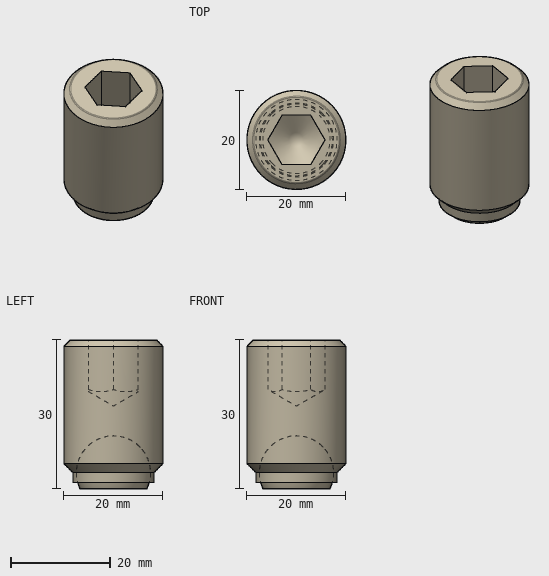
import cadquery as cq
import math

total_height = 30.0
screw_diameter = 20.0
screw_radius = screw_diameter / 2

collar_radius = 8.2
collar_bottom = 1.25
collar_top = 3.27
lower_chamfer = screw_radius - collar_radius
upper_chamfer = 1.25
rim_round = 0.33

hex_across_flats = 10.0
hex_across_corners = hex_across_flats / math.cos(math.radians(30))
hex_depth = 10.0
cone_half_angle = 60.0
cone_radius = hex_across_corners / 2
cone_depth = cone_radius / math.tan(math.radians(cone_half_angle))

ball_radius = 7.5
flat_radius = 6.78
ball_center = math.sqrt(ball_radius**2 - flat_radius**2)


def make_ball():
    """Sphere cut off by a flat contact face at Z = 0."""
    sphere = cq.Workplane("XY").sphere(ball_radius).translate((0, 0, ball_center))
    flat_cutter = cq.Workplane("XY").circle(screw_radius).extrude(-ball_radius)
    return sphere.cut(flat_cutter)


def make_screw_blank():
    """Turned outside shape: collar, 45 degree chamfers and rounded top rim."""
    profile = [
        (0, collar_bottom),
        (collar_radius, collar_bottom),
        (collar_radius, collar_top),
        (screw_radius, collar_top + lower_chamfer),
        (screw_radius, total_height - upper_chamfer),
        (screw_radius - upper_chamfer, total_height),
        (0, total_height),
    ]
    blank = cq.Workplane("XZ").polyline(profile).close().revolve(360, (0, 0, 0), (0, 1, 0))
    return blank.faces(">Z").edges().fillet(rim_round)


def make_hex_socket():
    """Hexagonal prism, corners on the X axis, ending in a cone limited to the hexagon."""
    socket_depth = hex_depth + cone_depth
    prism = (
        cq.Workplane("XY")
        .workplane(offset=total_height)
        .polygon(6, hex_across_corners)
        .extrude(-socket_depth)
    )
    drill_profile = [
        (0, total_height),
        (cone_radius, total_height),
        (cone_radius, total_height - hex_depth),
        (0, total_height - socket_depth),
    ]
    drill = cq.Workplane("XZ").polyline(drill_profile).close().revolve(360, (0, 0, 0), (0, 1, 0))
    return prism.intersect(drill)


ball = make_ball()
screw = make_screw_blank().cut(make_hex_socket()).cut(ball)

result = cq.Compound.makeCompound([screw.solids().val(), ball.solids().val()])